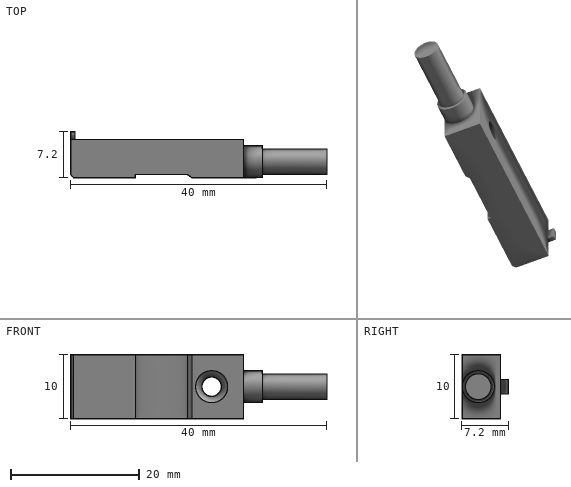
import cadquery as cq

body_length = 27.0
body_depth = 6.0
body_height = 10.0
end_chamfer = 0.5

recess_start = 10.1
recess_floor_end = 18.2
recess_end = 18.9
recess_depth = 0.5

hole_x = 22.0
hole_diameter = 3.0
countersink_diameter = 5.0

collar_diameter = 5.0
collar_length = 2.9
cable_diameter = 4.0
total_length = 40.0
cable_axis_y = collar_diameter / 2

tab_length = 0.7
tab_height = 2.3
total_depth = 7.2
tab_projection = total_depth - body_depth


def make_body():
    """Block whose XY outline carries the end chamfer and the front recess."""
    outline = [
        (end_chamfer, 0),
        (recess_start, 0),
        (recess_start, recess_depth),
        (recess_floor_end, recess_depth),
        (recess_end, 0),
        (body_length, 0),
        (body_length, body_depth),
        (0, body_depth),
        (0, end_chamfer),
    ]
    return cq.Workplane("XY").polyline(outline).close().extrude(body_height / 2, both=True)


def cut_mounting_hole(body):
    """Countersunk hole running from the front face to the back face."""
    front_face = cq.Workplane("XZ", origin=(hole_x, 0, 0))
    bore = front_face.circle(hole_diameter / 2).extrude(-body_depth)
    countersink_depth = (countersink_diameter - hole_diameter) / 2
    cone = cq.Solid.makeCone(
        countersink_diameter / 2,
        hole_diameter / 2,
        countersink_depth,
        pnt=cq.Vector(hole_x, 0, 0),
        dir=cq.Vector(0, 1, 0),
    )
    return body.cut(bore).cut(cq.Workplane(cone))


def make_cable():
    """Cable with its collar, leaving the +X end of the block."""
    cable_start = cq.Workplane("YZ", origin=(body_length, cable_axis_y, 0))
    collar = cable_start.circle(collar_diameter / 2).extrude(collar_length)
    cable = cable_start.circle(cable_diameter / 2).extrude(total_length - body_length)
    return collar.union(cable)


def make_tab():
    """Tab on the back face, flush with the -X end."""
    return cq.Workplane("XY", origin=(0, body_depth, 0)).box(
        tab_length, tab_projection, tab_height, centered=(False, False, True)
    )


result = cut_mounting_hole(make_body()).union(make_cable()).union(make_tab())